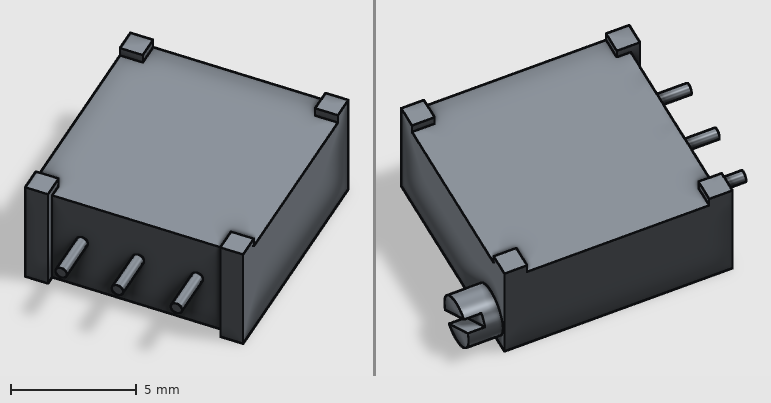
import cadquery as cq

housing_width = 9.53
housing_height = 4.8
overall_length = 13.15
top_recess = 0.4
front_recess = 0.41
pad_width = 1.0
front_pad_length = 1.03

screw_diameter = 2.24
screw_length = 1.51
screw_inset = 1.26
slot_width = 0.59
slot_depth = 0.76
slot_tilt = -36.0

pin_diameter = 0.5
pin_length = 2.0
pin_positions = (-2.46, 0.0, 2.58)

housing_length = overall_length - screw_length - (pin_length - front_recess)
core_height = housing_height - top_recess
screw_x = screw_inset - housing_width / 2
pin_z = housing_height / 2


def box_from_y(width, y_start, y_end, z_bottom, z_top):
    """Box centred on X = 0 between the given Y and Z limits."""
    box = cq.Workplane("XY").box(width, y_end - y_start, z_top - z_bottom, centered=(True, False, False))
    return box.translate((0, y_start, z_bottom))


def rod_along_y(diameter, x, z, y_start, y_end):
    """Round rod parallel to Y."""
    rod = cq.Workplane("XZ").circle(diameter / 2).extrude(y_start - y_end)
    return rod.translate((x, y_start, z))


def make_housing():
    """Block cut back at the front and the top so that posts and pads remain at its corners."""
    block = box_from_y(housing_width, 0, housing_length, 0, housing_height)
    width_between_pads = housing_width - 2 * pad_width
    back_pad_start = housing_length - pad_width
    front_cut = box_from_y(width_between_pads, 0, front_recess, 0, housing_height)
    lengthwise_cut = box_from_y(width_between_pads, 0, housing_length, core_height, housing_height)
    crosswise_cut = box_from_y(housing_width, front_pad_length, back_pad_start, core_height, housing_height)
    return block.cut(front_cut).cut(lengthwise_cut).cut(crosswise_cut)


def make_screw():
    """Adjustment screw on the back face, with a tilted driver slot across its end."""
    screw_end = housing_length + screw_length
    screw = rod_along_y(screw_diameter, 0, 0, housing_length, screw_end)
    slot = box_from_y(screw_diameter, screw_end - slot_depth, screw_end, -slot_width / 2, slot_width / 2)
    slot = slot.rotate((0, 0, 0), (0, 1, 0), -slot_tilt)
    return screw.cut(slot).translate((screw_x, 0, screw_inset))


def make_pin(x):
    """Terminal pin standing on the recessed front face."""
    return rod_along_y(pin_diameter, x, pin_z, front_recess - pin_length, front_recess)


housing = make_housing()
screw = make_screw()
pins = [make_pin(x) for x in pin_positions]

result = cq.Compound.makeCompound([housing.val(), screw.val(), *[pin.val() for pin in pins]])